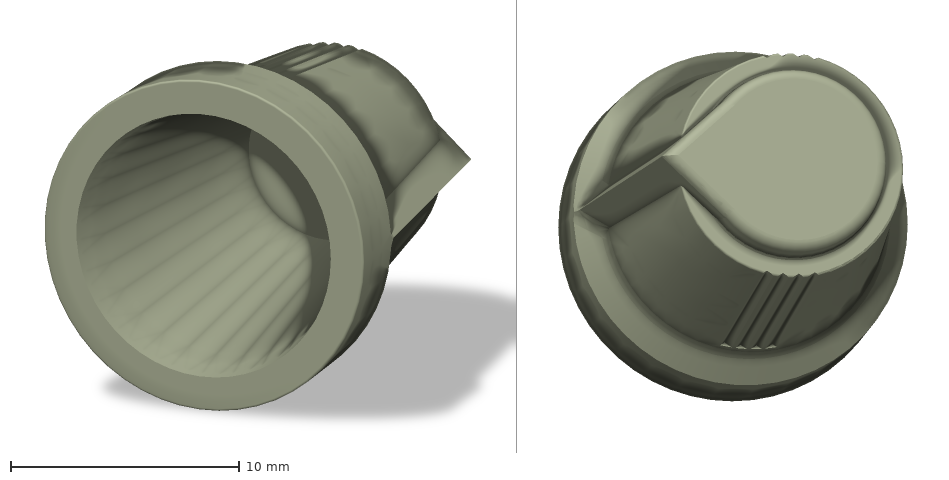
import cadquery as cq
import math


TOTAL_LENGTH = 17.5
SKIRT_LENGTH = 3.52
BODY_BASE_Y = 4.8
BODY_END_Y = 16.1
SOCKET_DEPTH = 15.0

SKIRT_BASE_RADIUS = 7.5
SKIRT_TOP_RADIUS = 7.43
BODY_BASE_RADIUS = 6.27
BODY_END_RADIUS = 4.99
CAP_BASE_RADIUS = 4.15
CAP_END_RADIUS = 4.0
SOCKET_MOUTH_RADIUS = 5.97
SOCKET_FLOOR_RADIUS = 3.7

SKIRT_EDGE_ROUND = 0.1
BODY_EDGE_ROUND = 0.1
CAP_ROOT_ROUND = 0.1
CAP_EDGE_ROUND = 0.45
SHOULDER_ROUND = 0.9

POINTER_START_Y = 3.0
POINTER_START_TIP = 7.42
POINTER_END_TIP = 5.88
POINTER_HALF_ANGLE = 42.7
POINTER_BACK_X = 2.6

GROOVE_COUNT = 4
GROOVE_PITCH = 0.71
GROOVE_WIDTH = 0.5
GROOVE_DEPTH = 0.16
GROOVE_START_Y = 5.5

FLARE_RADIUS = 9.0

BODY_TAPER = (BODY_BASE_RADIUS - BODY_END_RADIUS) / (BODY_END_Y - BODY_BASE_Y)
SHOULDER_SLOPE = (BODY_BASE_Y - SKIRT_LENGTH) / (SKIRT_TOP_RADIUS - BODY_BASE_RADIUS)


def body_radius(y):
    """Radius of the tapered grip body at height y."""
    return BODY_BASE_RADIUS - BODY_TAPER * (y - BODY_BASE_Y)


def turned(profile):
    """Solid of revolution about the knob axis from (radius, y) points."""
    return cq.Workplane("XY").polyline(profile).close().revolve(360, (0, 0, 0), (0, 1, 0))


def circle_edge(knob, radius, y):
    """Edges of the knob lying on the circle of the given radius at height y."""
    tolerance = 0.001
    return knob.edges("%CIRCLE").filter(
        lambda edge: abs(edge.radius() - radius) < tolerance and abs(edge.Center().y - y) < tolerance
    )


def flared_grip():
    """Tapered body and cap standing on the over-wide shoulder cone."""
    flare_y = BODY_BASE_Y - (FLARE_RADIUS - BODY_BASE_RADIUS) * SHOULDER_SLOPE
    grip = turned([
        (0, flare_y),
        (FLARE_RADIUS, flare_y),
        (BODY_BASE_RADIUS, BODY_BASE_Y),
        (BODY_END_RADIUS, BODY_END_Y),
        (CAP_BASE_RADIUS, BODY_END_Y),
        (CAP_END_RADIUS, TOTAL_LENGTH),
        (0, TOTAL_LENGTH),
    ])
    grip = circle_edge(grip, BODY_END_RADIUS, BODY_END_Y).fillet(BODY_EDGE_ROUND)
    return circle_edge(grip, CAP_BASE_RADIUS, BODY_END_Y).fillet(CAP_ROOT_ROUND)


def pointer_section(y, tip_x, back_x):
    """Triangular cross-section of the pointer rib, normal to the axis."""
    half_width = (tip_x - back_x) * math.tan(math.radians(POINTER_HALF_ANGLE))
    corners = [
        cq.Vector(tip_x, y, 0),
        cq.Vector(back_x, y, half_width),
        cq.Vector(back_x, y, -half_width),
    ]
    return cq.Wire.makePolygon(corners, close=True)


def pointer_rib():
    """Drafted wedge from inside the shoulder to the end of the cap."""
    start_back_x = POINTER_BACK_X + POINTER_START_TIP - POINTER_END_TIP
    start = pointer_section(POINTER_START_Y, POINTER_START_TIP, start_back_x)
    end = pointer_section(TOTAL_LENGTH, POINTER_END_TIP, POINTER_BACK_X)
    return cq.Workplane(cq.Solid.makeLoft([start, end], True))


def upper_half(solid):
    """The +Z half of a solid."""
    size = 4 * TOTAL_LENGTH
    return solid.intersect(cq.Workplane("XY").box(size, size, size, centered=(True, True, False)))


def is_shoulder_edge(edge):
    """True for the +Z edges where body and pointer meet the shoulder cone."""
    tolerance = 0.01
    box = edge.BoundingBox()
    on_split_plane = box.zmax < tolerance
    return box.ymin > POINTER_START_Y and box.ymax < BODY_BASE_Y + tolerance and not on_split_plane


def skirt_envelope():
    """Outer limit of the knob: the skirt carried straight up to the full length."""
    envelope = turned([
        (0, 0),
        (SKIRT_BASE_RADIUS, 0),
        (SKIRT_TOP_RADIUS, SKIRT_LENGTH),
        (SKIRT_TOP_RADIUS, TOTAL_LENGTH),
        (0, TOTAL_LENGTH),
    ])
    return circle_edge(envelope, SKIRT_BASE_RADIUS, 0).fillet(SKIRT_EDGE_ROUND)


def skirt_core():
    """Solid skirt below the shoulder."""
    return skirt_envelope().intersect(
        cq.Workplane("XZ").circle(FLARE_RADIUS).extrude(-SKIRT_LENGTH)
    )


def socket():
    """Tapered blind bore from the open end."""
    return turned([
        (0, 0),
        (SOCKET_MOUTH_RADIUS, 0),
        (SOCKET_FLOOR_RADIUS, SOCKET_DEPTH),
        (0, SOCKET_DEPTH),
    ])


def grip_groove(x):
    """V groove at offset x on the +Z side, running parallel to the body taper."""
    surface_z = math.sqrt(body_radius(GROOVE_START_Y) ** 2 - x ** 2)
    corners = [
        cq.Vector(x, GROOVE_START_Y, surface_z - GROOVE_DEPTH),
        cq.Vector(x + GROOVE_WIDTH, GROOVE_START_Y, surface_z + GROOVE_DEPTH),
        cq.Vector(x - GROOVE_WIDTH, GROOVE_START_Y, surface_z + GROOVE_DEPTH),
    ]
    length = BODY_END_Y - GROOVE_START_Y
    run = cq.Vector(0, length, -BODY_TAPER * length)
    return cq.Workplane(cq.Solid.extrudeLinear(cq.Wire.makePolygon(corners, close=True), [], run))


grip_with_pointer = flared_grip().union(pointer_rib())
grip_with_pointer = grip_with_pointer.faces(">Y").edges().fillet(CAP_EDGE_ROUND)
half = upper_half(grip_with_pointer)
half = half.edges().filter(is_shoulder_edge).fillet(SHOULDER_ROUND)
half = half.intersect(skirt_envelope())
for index in range(GROOVE_COUNT):
    groove_x = (index - (GROOVE_COUNT - 1) / 2) * GROOVE_PITCH
    half = half.cut(grip_groove(groove_x))

knob = half.union(half.mirror("XY")).union(skirt_core())
result = knob.cut(socket()).clean()